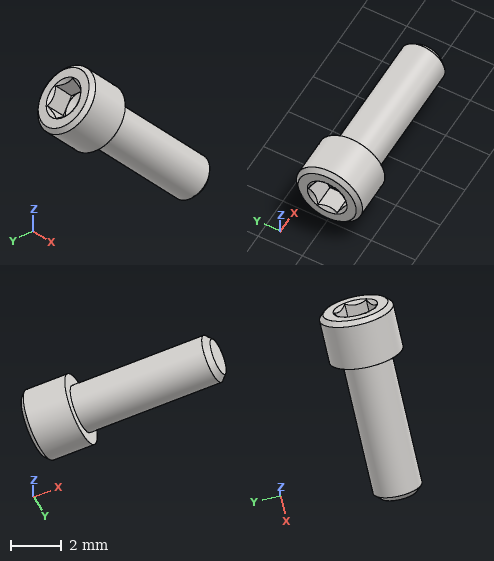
import cadquery as cq
import math

total_length = 8.0
head_diameter = 3.0
head_length = 2.0
shank_diameter = 2.0
head_chamfer = 0.18
tip_chamfer = 0.25

socket_across_flats = 1.5
socket_depth = 1.0
socket_rim_diameter = 1.8
socket_cone_angle = 120.0
rim_cone_angle = 90.0

socket_across_corners = socket_across_flats / math.cos(math.pi / 6)


def make_body():
    """Revolve the half profile of the head and shank about the X axis."""
    head_radius = head_diameter / 2
    shank_radius = shank_diameter / 2
    return (
        cq.Workplane("XY")
        .moveTo(0, 0)
        .lineTo(0, head_radius - head_chamfer)
        .lineTo(head_chamfer, head_radius)
        .lineTo(head_length, head_radius)
        .lineTo(head_length, shank_radius)
        .lineTo(total_length - tip_chamfer, shank_radius)
        .lineTo(total_length, shank_radius - tip_chamfer)
        .lineTo(total_length, 0)
        .close()
        .revolve(360, (0, 0, 0), (1, 0, 0))
    )


def make_cone(base_x, radius, included_angle):
    """Solid cone on the X axis with its base at base_x, pointing toward +X."""
    height = radius / math.tan(math.radians(included_angle / 2))
    base_center = cq.Vector(base_x, 0, 0)
    axis = cq.Vector(1, 0, 0)
    return cq.Workplane(cq.Solid.makeCone(radius, 0, height, base_center, axis))


def make_socket():
    """Hexagonal pocket, corners along Y, with a conical floor and a countersunk mouth."""
    hexagon = cq.Workplane("YZ").polygon(6, socket_across_corners).extrude(socket_depth)
    floor_cone = make_cone(socket_depth, socket_across_flats / 2, socket_cone_angle)
    mouth_cone = make_cone(0, socket_rim_diameter / 2, rim_cone_angle)
    return hexagon.union(floor_cone).union(mouth_cone)


result = make_body().cut(make_socket())